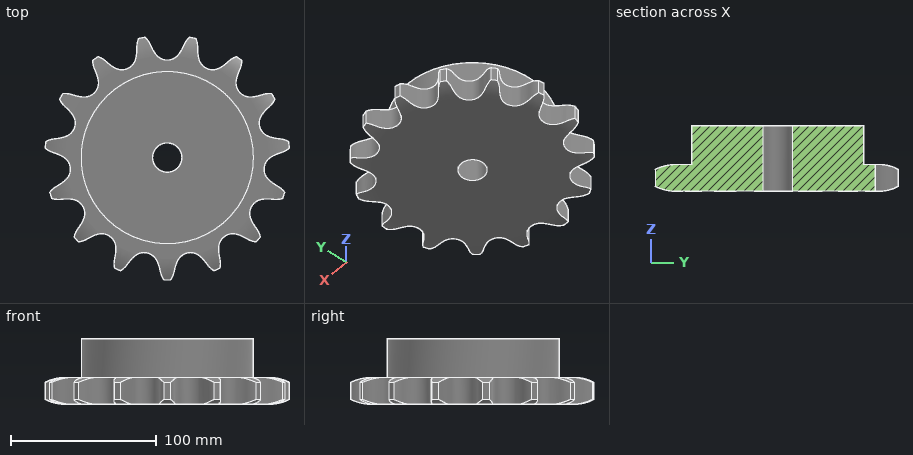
import cadquery as cq
import math

tooth_count = 15
outer_diameter = 167.9
pitch = 31.8
roller_diameter = 19.0
tooth_width = 18.5
hub_diameter = 118.0
bore_diameter = 20.0
total_height = 45.0
flat_face_diameter = 139.3
side_radius = 32.0

outer_radius = outer_diameter / 2
half_pitch_angle = 180 / tooth_count
pitch_radius = pitch / (2 * math.sin(math.radians(half_pitch_angle)))

seat_ratio = 0.505
flank_ratio = 1.3025
flank_center_ratio = 0.8
tip_center_ratio = 1.4

seat_end_angle = -(35 + 60 / tooth_count)
flank_sweep = 18 - 56 / tooth_count
tip_offset_angle = 17 - 64 / tooth_count
flank_end_angle = seat_end_angle + flank_sweep

seat_radius = seat_ratio * roller_diameter
flank_radius = flank_ratio * roller_diameter
straight_length = roller_diameter * (
    tip_center_ratio * math.sin(math.radians(tip_offset_angle))
    - flank_center_ratio * math.sin(math.radians(flank_sweep))
)
tip_radius = roller_diameter * (
    flank_center_ratio * math.cos(math.radians(flank_sweep))
    + tip_center_ratio * math.cos(math.radians(tip_offset_angle))
    - flank_ratio
)


def offset(point, distance, angle):
    """Point at a distance from another one, in a direction given in degrees."""
    direction = math.radians(angle)
    return (point[0] + distance * math.cos(direction), point[1] + distance * math.sin(direction))


def mirrored(point):
    """Point on the other side of the gap's centre line."""
    return (-point[0], point[1])


def make_disc():
    """Disc with rounded sides, before the tooth gaps are cut."""
    flat_radius = flat_face_diameter / 2
    run = outer_radius - flat_radius
    drop = side_radius - math.sqrt(side_radius**2 - run**2)
    half_angle = math.degrees(math.asin(run / side_radius)) / 2
    upper_middle = offset((flat_radius, tooth_width - side_radius), side_radius, 90 - half_angle)
    lower_middle = (upper_middle[0], tooth_width - upper_middle[1])
    return (
        cq.Workplane("XZ")
        .lineTo(flat_radius, 0)
        .threePointArc(lower_middle, (outer_radius, drop))
        .lineTo(outer_radius, tooth_width - drop)
        .threePointArc(upper_middle, (flat_radius, tooth_width))
        .lineTo(0, tooth_width)
        .close()
        .revolve(360, (0, 0, 0), (0, 1, 0))
    )


def make_gap():
    """Cutter for the gap between two teeth, centred on +Y."""
    seat_center = (0, pitch_radius)
    seat_bottom = (0, pitch_radius - seat_radius)
    seat_end = offset(seat_center, seat_radius, seat_end_angle)

    flank_center = offset(seat_end, flank_radius, seat_end_angle + 180)
    flank_middle = offset(flank_center, flank_radius, (seat_end_angle + flank_end_angle) / 2)
    flank_end = offset(flank_center, flank_radius, flank_end_angle)

    tip_start = offset(flank_end, straight_length, flank_end_angle + 90)
    tip_center = offset(tip_start, tip_radius, flank_end_angle)
    center_distance = math.hypot(*tip_center)
    center_angle = math.degrees(math.atan2(tip_center[1], tip_center[0]))
    cosine = (outer_radius**2 + center_distance**2 - tip_radius**2) / (2 * outer_radius * center_distance)
    tip_end = offset((0, 0), outer_radius, center_angle + math.degrees(math.acos(cosine)))
    tip_end_angle = math.degrees(math.atan2(tip_end[1] - tip_center[1], tip_end[0] - tip_center[0]))
    tip_middle = offset(tip_center, tip_radius, (flank_end_angle + 180 + tip_end_angle) / 2)

    beyond_tip = (tip_end[0], outer_radius + seat_radius)

    return (
        cq.Workplane("XY")
        .moveTo(*beyond_tip)
        .lineTo(*tip_end)
        .threePointArc(tip_middle, tip_start)
        .lineTo(*flank_end)
        .threePointArc(flank_middle, seat_end)
        .threePointArc(seat_bottom, mirrored(seat_end))
        .threePointArc(mirrored(flank_middle), mirrored(flank_end))
        .lineTo(*mirrored(tip_start))
        .threePointArc(mirrored(tip_middle), mirrored(tip_end))
        .lineTo(*mirrored(beyond_tip))
        .close()
        .extrude(tooth_width)
    )


sprocket = make_disc()
gap = make_gap()
for index in range(tooth_count):
    sprocket = sprocket.cut(gap.rotate((0, 0, 0), (0, 0, 1), index * 360 / tooth_count))

hub = cq.Workplane("XY").circle(hub_diameter / 2).extrude(total_height)
bore = cq.Workplane("XY").circle(bore_diameter / 2).extrude(total_height)
result = sprocket.union(hub).cut(bore)